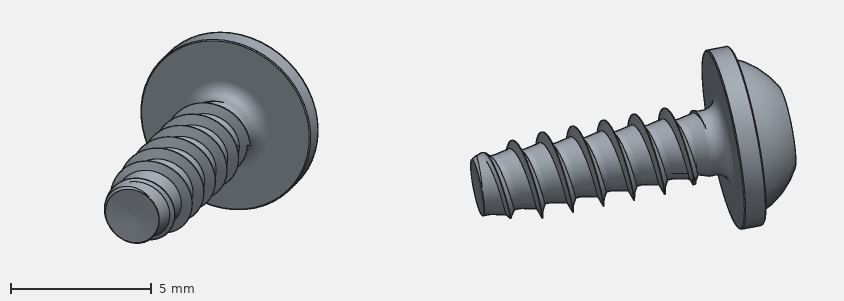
import cadquery as cq
import math


flange_diameter = 6.5
flange_thickness = 0.8
flange_edge_chamfer = 0.04
head_height = 2.3
dome_base_radius = 2.82
dome_top_radius = 1.52

neck_radius = 1.18
neck_fillet = 0.5
neck_length = 0.73
neck_taper_end = 1.22

shank_length = 9.0
core_radius = 1.03
land_radius = 1.15
crest_radius = 1.51
pitch = 1.12
crest_height = -1.42
full_turns = 5
fading_turns = 2
faded_crest_radius = 1.06
starting_turns = 1

crest_half_width = 0.012
knee_share = 0.28
knee_half_width = 0.075
upper_root_offset = 0.22
lower_root_offset = 0.14
land_end_offset = 0.84
core_overlap = 0.03

start_depth = 0.68
start_slope = 0.287

tip_radius = 1.02
tip_slope = 0.6
tip_recess_depth = 0.1

overlong_length = shank_length + 2 * pitch
trim_allowance = 0.1
clearance_radius = neck_radius + neck_fillet + trim_allowance


def revolve_profile(profile):
    """Close a half-profile (radius, height) and turn it about the Z axis."""
    return profile.close().revolve(360, (0, 0, 0), (0, 1, 0))


def make_head():
    flange = (
        cq.Workplane("XY")
        .circle(flange_diameter / 2)
        .extrude(flange_thickness)
        .faces("<Z or >Z")
        .chamfer(flange_edge_chamfer)
    )
    dome_rise = head_height - flange_thickness
    centre_rise = (dome_top_radius**2 + dome_rise**2 - dome_base_radius**2) / (2 * dome_rise)
    sphere_radius = math.hypot(dome_base_radius, centre_rise)
    mid_radius = math.sqrt(sphere_radius**2 - (dome_rise / 2 - centre_rise) ** 2)
    dome = revolve_profile(
        cq.Workplane("XZ")
        .moveTo(0, flange_thickness)
        .lineTo(dome_base_radius, flange_thickness)
        .threePointArc((mid_radius, flange_thickness + dome_rise / 2), (dome_top_radius, head_height))
        .lineTo(0, head_height)
    )
    return flange.union(dome)


def make_core():
    """Neck and plain core, left overlong at the tip end."""
    return revolve_profile(
        cq.Workplane("XZ")
        .lineTo(neck_radius + neck_fillet, 0)
        .radiusArc((neck_radius, -neck_fillet), -neck_fillet)
        .lineTo(neck_radius, -neck_length)
        .lineTo(core_radius, -neck_taper_end)
        .lineTo(core_radius, -overlong_length)
        .lineTo(0, -overlong_length)
    )


def draw_thread_profile(sketch, crest):
    """Half-section of one turn with the given crest radius: ridge above, tapering land below."""
    root_radius = core_radius - core_overlap
    knee_radius = land_radius + knee_share * (crest - land_radius)
    return (
        sketch.moveTo(root_radius, upper_root_offset)
        .lineTo(knee_radius, knee_half_width)
        .lineTo(crest, crest_half_width)
        .lineTo(crest, -crest_half_width)
        .lineTo(land_radius, -lower_root_offset)
        .lineTo(root_radius, -land_end_offset)
        .close()
    )


def make_thread(turns, start_height, start_crest):
    """Right-handed thread from the +X side upwards, its crest growing from start_crest to full."""
    rise = turns * pitch
    helix = cq.Workplane(cq.Wire.makeHelix(pitch, rise, core_radius))
    sections = draw_thread_profile(cq.Workplane("XZ"), start_crest)
    growing = start_crest < crest_radius
    if growing:
        sections = draw_thread_profile(sections.center(0, rise), crest_radius)
    return sections.sweep(helix, isFrenet=True, multisection=growing).translate((0, 0, start_height))


def make_start_envelope():
    """Cone that lets the crest grow as it leaves the neck."""
    top_radius = neck_radius - start_slope * (start_depth - neck_fillet)
    full_depth = start_depth + (clearance_radius - neck_radius) / start_slope
    return revolve_profile(
        cq.Workplane("XZ")
        .moveTo(0, -neck_fillet)
        .lineTo(top_radius, -neck_fillet)
        .lineTo(clearance_radius, -full_depth)
        .lineTo(clearance_radius, -overlong_length)
        .lineTo(0, -overlong_length)
    )


def make_tip_envelope():
    """Cylinder ending in a cone that trims the tip, with a shallow conical hollow in the end."""
    fall_depth = shank_length - (clearance_radius - tip_radius) / tip_slope
    return revolve_profile(
        cq.Workplane("XZ")
        .lineTo(clearance_radius, 0)
        .lineTo(clearance_radius, -fall_depth)
        .lineTo(tip_radius, -shank_length)
        .lineTo(0, -shank_length + tip_recess_depth)
    )


def make_shank():
    full_start = crest_height - full_turns * pitch
    fading_start = full_start - fading_turns * pitch
    fading_thread = make_thread(fading_turns, fading_start, faded_crest_radius)
    full_thread = make_thread(full_turns, full_start, crest_radius)
    starting_thread = make_thread(starting_turns, crest_height, crest_radius)
    starting_thread = starting_thread.intersect(make_start_envelope())
    shank = make_core().union(full_thread).union(fading_thread).union(starting_thread)
    return shank.intersect(make_tip_envelope())


result = make_head().union(make_shank()).rotate((0, 0, 0), (1, 0, 0), -90)